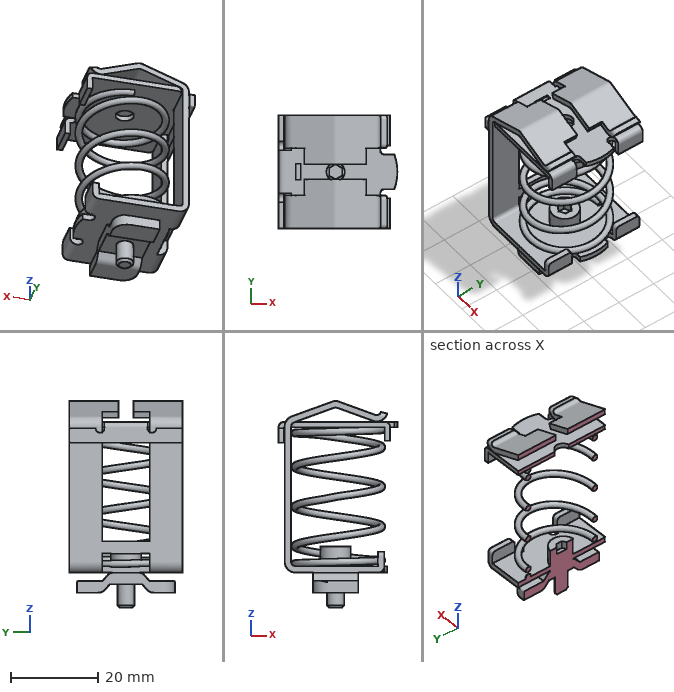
import cadquery as cq
import math


length_tolerance = 1e-6

clip_width = 26.0
clip_thickness = 1.5
bend_inner = 1.0
bend_outer = bend_inner + clip_thickness
wall_outer_x = -11.68
wall_inner_x = wall_outer_x + clip_thickness
clip_top_z = 39.38
roof_angle = math.radians(20)
ridge_radius = 1.5
lip_start_x = 9.08
lip_end_angle = math.radians(75)
lip_corner_radius = 1.0
window_half_width = 5.42
window_bottom_z = 7.23
roof_slot_width = 3.4
roof_slot_min_x = -7.12
roof_slot_max_x = 7.02
bend_slot_top_z = 4.35
base_tab_outer_x = 11.2
base_tab_inner_x = base_tab_outer_x - clip_thickness
base_tab_top_z = 4.82
base_tab_corner_radius = 1.0
base_tab_gap_half_width = 6.3
base_tongue_tip_x = 11.85

tongue_half_width = 4.0
tongue_tip_sagitta = 0.71
relief_radius = 1.0

plate_bottom_z = 33.3
plate_thickness = 1.25
plate_top_z = plate_bottom_z + plate_thickness
plate_corner_radius = 1.2
plate_tab_outer_x = 12.5
plate_tab_inner_x = plate_tab_outer_x - plate_thickness
plate_tab_bottom_z = 30.2
plate_tab_gap_half_width = tongue_half_width + 2 * relief_radius
plate_tongue_tip_x = 14.19
neck_half_width = 4.95
flange_outer_x = -13.08
flange_top_z = 33.07
flange_bottom_z = 29.76
flange_corner_radius = 0.35
plate_hole_diameter = 4.2
plate_pocket_x = -8.53
plate_pocket_size = (1.1, 3.6)
plate_pocket_depth = 0.4

coil_center_x = 0.62
coil_radius = 9.95
wire_radius = 0.8
coil_bottom_z = 1.7
coil_top_z = 33.1
closed_pitch = 1.5
active_pitch = 9.0
coil_turns = 5
coil_start_angle = 90
coil_end_angle = coil_start_angle + 360 * coil_turns
closed_sweep = 310
ramp_sweep = 40
coil_step_angle = 20

screw_diameter = 4.0
screw_bottom_z = -8.07
screw_chamfer = 0.6
head_diameter = 7.0
head_top_z = 6.0
socket_across_flats = 3.0
socket_depth = 2.0

strap_width = 10.4
strap_half_length = 11.25
strap_thickness = 2.7
strap_step = 1.9
strap_crown_half_width = 3.7
strap_foot_inner = 5.42
strap_crown_radius = 1.5
strap_heel_radius = 2.0
strap_corner_radius = 3.5
strap_edge_radius = 0.4


roof_slope = math.tan(roof_angle)
ridge_z = clip_top_z + ridge_radius * (1 / math.cos(roof_angle) - 1)
down_slope = cq.Vector(math.cos(roof_angle), -math.sin(roof_angle))
roof_normal = cq.Vector(math.sin(roof_angle), math.cos(roof_angle))
lip_start = cq.Vector(lip_start_x, ridge_z - roof_slope * lip_start_x)
lip_center = lip_start + roof_normal * bend_inner
lip_direction = cq.Vector(math.sin(lip_end_angle), -math.cos(lip_end_angle))


def rounded_outline(plane, corners):
    """Closed outline through (u, v, radius) corners, each one rounded by a tangent arc."""
    outline = None
    last = None
    count = len(corners)
    for i in range(count):
        u, v, radius = corners[i]
        corner = cq.Vector(u, v)
        to_previous = (cq.Vector(*corners[i - 1][:2]) - corner).normalized()
        to_next = (cq.Vector(*corners[(i + 1) % count][:2]) - corner).normalized()
        half_angle = to_previous.getAngle(to_next) / 2
        start = corner + to_previous * (radius / math.tan(half_angle))
        end = corner + to_next * (radius / math.tan(half_angle))
        if outline is None:
            outline = cq.Workplane(plane).moveTo(start.x, start.y)
        elif (start - last).Length > length_tolerance:
            outline = outline.lineTo(start.x, start.y)
        if radius > 0:
            bisector = (to_previous + to_next).normalized()
            middle = corner + bisector * (radius / math.sin(half_angle) - radius)
            outline = outline.threePointArc((middle.x, middle.y), (end.x, end.y))
        last = end
    return outline.close()


def block(x_min, x_max, y_min, y_max, z_min, z_max):
    """Rectangular block between the given limits."""
    size = (x_max - x_min, y_max - y_min, z_max - z_min)
    return cq.Workplane("XY").box(*size, centered=False).translate((x_min, y_min, z_min))


def center_block(x_min, x_max, half_width, z_min, z_max):
    """Block that spans Y symmetrically about the middle plane."""
    return block(x_min, x_max, -half_width, half_width, z_min, z_max)


def tongue(x_start, x_tip, z_min, thickness):
    """Central tongue whose free end is a shallow arc."""
    shoulder = x_tip - tongue_tip_sagitta
    return (
        cq.Workplane("XY", origin=(0, 0, z_min))
        .moveTo(x_start, -tongue_half_width)
        .lineTo(shoulder, -tongue_half_width)
        .threePointArc((x_tip, 0), (shoulder, tongue_half_width))
        .lineTo(x_start, tongue_half_width)
        .close()
        .extrude(thickness)
    )


def relief_notches(tab_inner_x, tab_outer_x, gap_half_width, z_min, z_max):
    """Round-ended notches that separate the tongue from the bent tabs on both sides."""
    notches = cq.Workplane("XY")
    depth = z_max - z_min
    for side in (-1, 1):
        inner = side * tongue_half_width
        outer = side * gap_half_width
        radius = abs(outer - inner) / 2
        middle = (inner + outer) / 2
        floor = (tab_inner_x - radius, middle)
        notch = (
            cq.Workplane("XY", origin=(0, 0, z_min))
            .moveTo(tab_outer_x, inner)
            .lineTo(tab_inner_x, inner)
            .threePointArc(floor, (tab_inner_x, outer))
            .lineTo(tab_outer_x, outer)
            .close()
            .extrude(depth)
        )
        notches = notches.add(notch)
    return notches.combine()


def clip_profile():
    """Side outline of the bent strip, from base tab around the wall to the curled lip."""
    ridge_inner_z = ridge_z - clip_thickness / math.cos(roof_angle)
    lip_tangent = math.tan((roof_angle + lip_end_angle) / 2)
    curl_top = lip_start + down_slope * (bend_inner * lip_tangent)
    curl_bottom = lip_start - roof_normal * clip_thickness + down_slope * (bend_outer * lip_tangent)
    tip_top = lip_center + lip_direction * bend_inner
    tip_bottom = lip_center + lip_direction * bend_outer

    return rounded_outline("XZ", [
        (base_tab_outer_x, base_tab_top_z, 0),
        (base_tab_inner_x, base_tab_top_z, 0),
        (base_tab_inner_x, clip_thickness, 0),
        (wall_inner_x, clip_thickness, bend_inner),
        (wall_inner_x, ridge_inner_z + roof_slope * wall_inner_x, bend_inner),
        (0, ridge_inner_z, ridge_radius),
        (curl_bottom.x, curl_bottom.y, bend_outer),
        (tip_bottom.x, tip_bottom.y, 0),
        (tip_top.x, tip_top.y, 0),
        (curl_top.x, curl_top.y, bend_inner),
        (0, ridge_z, ridge_radius),
        (wall_outer_x, ridge_z + roof_slope * wall_outer_x, bend_outer),
        (wall_outer_x, 0, bend_outer),
        (base_tab_outer_x, 0, clip_thickness),
    ])


def roof_opening(edge_x, far_x, floor_z):
    """Window cutter whose edge at edge_x is square to the sloping roof sheet."""
    side = math.copysign(1, edge_x)
    edge_z = ridge_z - roof_slope * abs(edge_x)
    reach_x = side * clip_thickness * math.sin(roof_angle)
    reach_z = clip_thickness * math.cos(roof_angle)
    top = (edge_x + reach_x, edge_z + reach_z)
    bottom = (edge_x - 2 * reach_x, edge_z - 2 * reach_z)
    outline = cq.Workplane("XZ").polyline(
        [top, bottom, (bottom[0], floor_z), (far_x, floor_z), (far_x, top[1])])
    return outline.close().extrude(window_half_width, both=True)


def lip_corner_cutter():
    """Material to remove so that both lips end in rounded corners."""
    tip_plane = cq.Plane(
        origin=(lip_center.x, 0, lip_center.y),
        xDir=(0, 1, 0),
        normal=(lip_direction.x, 0, lip_direction.y))
    lip_width = clip_width / 2 - window_half_width
    lip_middle = (clip_width / 2 + window_half_width) / 2
    cutter = cq.Workplane("XY")
    for side in (-1, 1):
        strip = (
            cq.Workplane(tip_plane)
            .center(side * lip_middle, -lip_corner_radius / 2)
            .rect(lip_width, lip_corner_radius)
            .extrude(bend_outer + clip_thickness)
        )
        kept = cq.Workplane(tip_plane).center(side * lip_middle, -lip_corner_radius)
        kept = (
            kept.rect(lip_width, 2 * lip_corner_radius)
            .extrude(bend_outer + clip_thickness)
            .edges(cq.selectors.ParallelDirSelector(tip_plane.zDir))
            .edges(">Z").fillet(lip_corner_radius)
        )
        cutter = cutter.add(strip.cut(kept))
    return cutter.combine()


def make_clip():
    clip = clip_profile().extrude(clip_width / 2, both=True)
    beyond_lip_x = base_tab_outer_x + bend_outer
    above_clip_z = clip_top_z + clip_thickness

    clip = clip.cut(roof_opening(roof_slot_min_x, wall_outer_x, window_bottom_z))
    clip = clip.cut(roof_opening(roof_slot_max_x, beyond_lip_x, plate_bottom_z))
    clip = clip.cut(center_block(
        roof_slot_min_x, roof_slot_max_x, roof_slot_width / 2, plate_top_z, above_clip_z))
    clip = clip.cut(center_block(
        wall_outer_x, wall_outer_x + bend_outer, window_half_width, 0, bend_slot_top_z))

    clip = clip.cut(center_block(
        base_tab_inner_x, beyond_lip_x, base_tab_gap_half_width, 0, base_tab_top_z))
    clip = clip.cut(relief_notches(
        base_tab_inner_x, beyond_lip_x, base_tab_gap_half_width, 0, clip_thickness))

    base_tab_corners = cq.selectors.BoxSelector(
        (base_tab_inner_x - clip_thickness, -clip_width, base_tab_top_z - base_tab_corner_radius),
        (beyond_lip_x, clip_width, base_tab_top_z + base_tab_corner_radius))
    clip = clip.edges("|X").edges(base_tab_corners).fillet(base_tab_corner_radius)

    clip = clip.cut(lip_corner_cutter())
    return clip.union(tongue(base_tab_inner_x, base_tongue_tip_x, 0, clip_thickness))


def make_plate():
    half_width = clip_width / 2
    sheet = (
        block(wall_inner_x, plate_tab_outer_x, -half_width, half_width, plate_bottom_z, plate_top_z)
        .edges("|Z and <X").fillet(plate_corner_radius)
    )
    tabs = block(
        plate_tab_inner_x, plate_tab_outer_x, -half_width, half_width, plate_tab_bottom_z, plate_top_z)
    sheet = sheet.union(tabs).edges("|Y and >X and >Z").fillet(plate_thickness)
    sheet = sheet.cut(center_block(
        plate_tab_inner_x, plate_tongue_tip_x, plate_tab_gap_half_width, plate_tab_bottom_z, plate_top_z))
    sheet = sheet.cut(relief_notches(
        plate_tab_inner_x, plate_tongue_tip_x, plate_tab_gap_half_width, plate_bottom_z, plate_top_z))
    tongue_start_x = plate_tab_inner_x - relief_radius
    sheet = sheet.union(tongue(tongue_start_x, plate_tongue_tip_x, plate_bottom_z, plate_thickness))

    neck_end_x = wall_inner_x + plate_corner_radius
    flange_inner_x = flange_outer_x + plate_thickness
    neck = rounded_outline("XZ", [
        (neck_end_x, plate_top_z, 0),
        (neck_end_x, plate_bottom_z, 0),
        (flange_inner_x, plate_bottom_z, 0),
        (flange_inner_x, flange_bottom_z, 0),
        (flange_outer_x, flange_bottom_z, 0),
        (flange_outer_x, plate_top_z, plate_thickness),
    ]).extrude(neck_half_width, both=True)
    flange = (
        block(flange_outer_x, flange_inner_x, -half_width, half_width, flange_bottom_z, flange_top_z)
        .edges("|X").fillet(flange_corner_radius)
    )
    for side in (-1, 1):
        relief = (
            cq.Workplane("YZ", origin=(flange_outer_x, 0, 0))
            .center(side * (neck_half_width + relief_radius), flange_top_z)
            .circle(relief_radius)
            .extrude(plate_thickness)
        )
        flange = flange.cut(relief)

    hole = cq.Workplane("XY", origin=(0, 0, plate_bottom_z)).circle(plate_hole_diameter / 2)
    pocket = cq.Workplane("XY", origin=(plate_pocket_x, 0, plate_top_z)).rect(*plate_pocket_size)
    plate = sheet.union(neck).union(flange)
    return plate.cut(hole.extrude(plate_thickness)).cut(pocket.extrude(-plate_pocket_depth))


def coil_rise(angle):
    """Height gained after turning by angle: closed pitch, linear ramp, then active pitch."""
    ramp_angle = min(max(angle - closed_sweep, 0), ramp_sweep)
    active_angle = max(angle - closed_sweep - ramp_sweep, 0)
    extra_pitch = active_pitch - closed_pitch
    ramp_rise = extra_pitch * ramp_angle ** 2 / (2 * ramp_sweep)
    return (closed_pitch * angle + ramp_rise + extra_pitch * active_angle) / 360


def coil_point(angle):
    """Point on the wire center line; both halves of the spring rise alike from their ends."""
    from_start = angle - coil_start_angle
    from_end = coil_end_angle - angle
    if from_start < from_end:
        z = coil_bottom_z + coil_rise(from_start)
    else:
        z = coil_top_z - coil_rise(from_end)
    turn = math.radians(angle)
    x = coil_center_x + coil_radius * math.cos(turn)
    return cq.Vector(x, coil_radius * math.sin(turn), z)


def make_spring():
    angles = range(coil_start_angle, coil_end_angle + 1, coil_step_angle)
    points = [coil_point(angle) for angle in angles]
    path = cq.Workplane("XY").spline(points)
    start_plane = cq.Plane(origin=points[0], normal=path.val().tangentAt(0))
    return cq.Workplane(start_plane).circle(wire_radius).sweep(path, isFrenet=True)


def make_screw():
    shank = (
        cq.Workplane("XY", origin=(0, 0, screw_bottom_z))
        .circle(screw_diameter / 2)
        .extrude(clip_thickness - screw_bottom_z)
        .faces("<Z").chamfer(screw_chamfer)
    )
    head = (
        cq.Workplane("XY", origin=(0, 0, clip_thickness))
        .circle(head_diameter / 2)
        .extrude(head_top_z - clip_thickness)
    )
    socket = (
        cq.Workplane("XY", origin=(0, 0, head_top_z))
        .polygon(6, socket_across_flats, circumscribed=True)
        .extrude(-socket_depth)
    )
    return shank.union(head).cut(socket)


def make_strap():
    foot_bottom_z = -strap_step - strap_thickness
    half_outline = [
        (strap_half_length, foot_bottom_z, 0),
        (strap_half_length, -strap_step, strap_edge_radius),
        (strap_foot_inner, -strap_step, 0),
        (strap_crown_half_width, 0, strap_crown_radius),
    ]
    half_underside = [
        (strap_foot_inner, foot_bottom_z, strap_heel_radius),
        (strap_crown_half_width, -strap_thickness, 0),
    ]
    mirrored_top = [(-y, z, radius) for y, z, radius in reversed(half_outline)]
    mirrored_underside = [(-y, z, radius) for y, z, radius in half_underside]
    outline = half_outline + mirrored_top + mirrored_underside + half_underside[::-1]
    strap = rounded_outline("YZ", outline).extrude(strap_width / 2, both=True)

    footprint = cq.Workplane("XY", origin=(0, 0, foot_bottom_z)).rect(strap_width, 2 * strap_half_length)
    blank = (
        footprint.extrude(-foot_bottom_z)
        .edges("(|Z and <X and <Y) or (|Z and >X and >Y)").fillet(strap_corner_radius)
    )
    return strap.intersect(blank)


result = make_clip().union(make_plate()).union(make_strap()).union(make_screw()).union(make_spring())